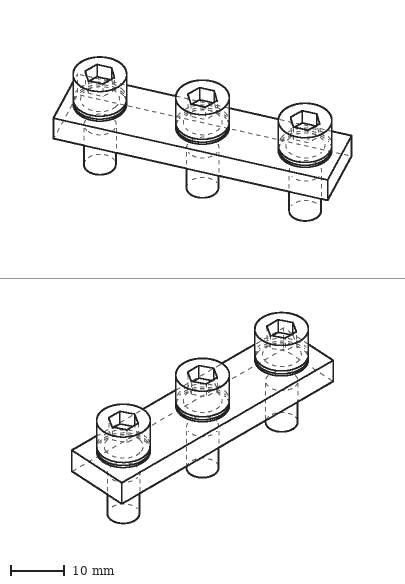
import cadquery as cq
import math

plate_length = 54.2
plate_width = 13.6
plate_thickness = 5.0
screw_spacing = 20.25

head_diameter = 10.0
head_height = 6.0
shank_diameter = 6.0
shank_projection = 9.8
socket_across_flats = 5.0
socket_depth = 3.0

washer_diameter = head_diameter
washer_top_diameter = 7.25
washer_height = 1.2
washer_rim_height = 0.5


def make_plate():
    return cq.Workplane("XY").box(
        plate_length, plate_width, plate_thickness, centered=(True, True, False)
    ).translate((0, 0, -plate_thickness))


def make_screw():
    """Screw and washer as one revolved profile, with a hexagonal socket in the head."""
    head_top = washer_height + head_height
    shank_end = -plate_thickness - shank_projection
    body = (
        cq.Workplane("XZ")
        .moveTo(0, shank_end)
        .lineTo(shank_diameter / 2, shank_end)
        .lineTo(shank_diameter / 2, 0)
        .lineTo(washer_diameter / 2, 0)
        .lineTo(washer_diameter / 2, washer_rim_height)
        .lineTo(washer_top_diameter / 2, washer_height)
        .lineTo(head_diameter / 2, washer_height)
        .lineTo(head_diameter / 2, head_top)
        .lineTo(0, head_top)
        .close()
        .revolve(360, (0, 0), (0, 1))
    )
    socket_across_corners = socket_across_flats / math.cos(math.pi / 6)
    socket = (
        cq.Workplane("XY")
        .workplane(offset=head_top - socket_depth)
        .polygon(6, socket_across_corners)
        .extrude(socket_depth)
    )
    return body.cut(socket)


result = make_plate()
screw = make_screw()
for screw_x in (-screw_spacing, 0, screw_spacing):
    result = result.union(screw.translate((screw_x, 0, 0)))